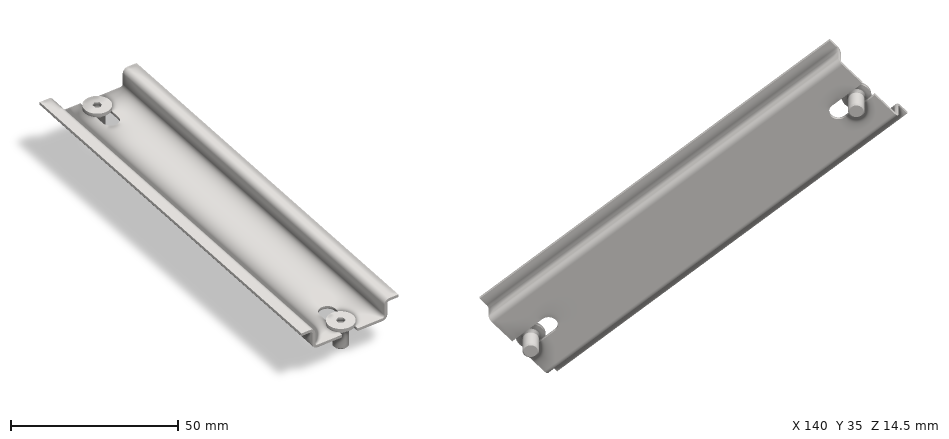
import cadquery as cq
import math

rail_length = 140.0
rail_width = 35.0
channel_width = 27.0
sheet = 1.0
rail_height = 7.5
inner_bend = 0.8
outer_bend = inner_bend + sheet

slot_width = 5.6
slot_reach = 14.8

screw_inset = 4.9
head_diameter = 9.0
head_height = 1.3
shank_diameter = 5.0
neck_diameter = 4.5
flare_diameter = 5.5
neck_length = 1.7
screw_drop = 7.0
tip_chamfer = 0.4
socket_across_flats = 2.5
socket_depth = 1.3


def make_rail():
    half_width = rail_width / 2
    wall_outside = channel_width / 2
    wall_inside = wall_outside - sheet
    flange_underside = rail_height - sheet
    section = (
        cq.Workplane("YZ")
        .polyline([
            (-half_width, rail_height),
            (-wall_inside, rail_height),
            (-wall_inside, sheet),
            (wall_inside, sheet),
            (wall_inside, rail_height),
            (half_width, rail_height),
            (half_width, flange_underside),
            (wall_outside, flange_underside),
            (wall_outside, 0),
            (-wall_outside, 0),
            (-wall_outside, flange_underside),
            (-half_width, flange_underside),
        ])
        .close()
    )
    rail = section.extrude(rail_length / 2, both=True)
    rail = round_bends(rail, wall_inside, rail_height, outer_bend)
    rail = round_bends(rail, wall_inside, sheet, inner_bend)
    rail = round_bends(rail, wall_outside, flange_underside, inner_bend)
    rail = round_bends(rail, wall_outside, 0, outer_bend)
    return cut_end_slots(rail)


def round_bends(rail, y, z, radius):
    """Round the pair of lengthwise edges at +y and -y, at height z."""
    for side in (-1, 1):
        corner = cq.selectors.NearestToPointSelector((0, side * y, z))
        rail = rail.edges("|X").edges(corner).fillet(radius)
    return rail


def cut_end_slots(rail):
    for side in (-1, 1):
        slot_length = slot_reach + slot_width
        inner_end = rail_length / 2 - slot_reach
        slot = (
            cq.Workplane("XY")
            .center(side * (inner_end + slot_length / 2), 0)
            .slot2D(slot_length, slot_width)
            .extrude(sheet)
        )
        rail = rail.cut(slot)
    return rail


def make_screw(x):
    """Flat-headed socket screw on a vertical axis at x, its head resting on the rail floor."""
    shank_top = sheet - neck_length
    head = cq.Workplane("XY", origin=(x, 0, sheet)).circle(head_diameter / 2).extrude(head_height)
    neck = cq.Workplane("XY", origin=(x, 0, shank_top)).circle(neck_diameter / 2).extrude(neck_length)
    flare = (
        cq.Workplane("XY", origin=(x, 0, 0))
        .circle(neck_diameter / 2)
        .workplane(offset=sheet)
        .circle(flare_diameter / 2)
        .loft(ruled=True)
    )
    shank = (
        cq.Workplane("XY", origin=(x, 0, -screw_drop))
        .circle(shank_diameter / 2)
        .extrude(screw_drop + shank_top)
        .faces("<Z")
        .chamfer(tip_chamfer)
    )
    socket_across_corners = socket_across_flats / math.cos(math.pi / 6)
    socket = (
        cq.Workplane("XY", origin=(x, 0, sheet + head_height - socket_depth))
        .polygon(6, socket_across_corners)
        .extrude(socket_depth)
    )
    return head.union(neck).union(flare).union(shank).cut(socket)


rail = make_rail()

screw_x = rail_length / 2 - screw_inset
screws = [make_screw(side * screw_x) for side in (-1, 1)]

result = cq.Compound.makeCompound([rail.val(), *[screw.val() for screw in screws]])